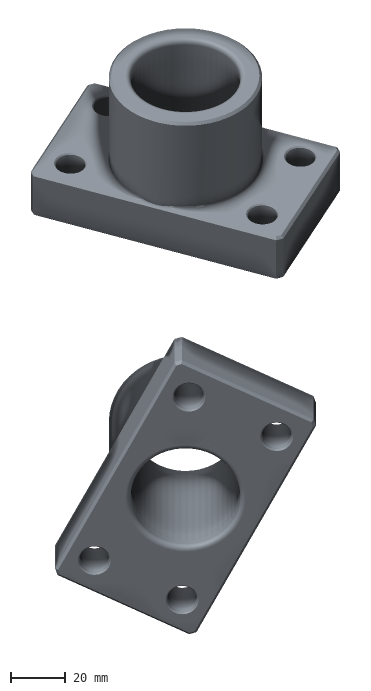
import cadquery as cq
import math

LENGTH = 100.0
WIDTH = 58.0
FLANGE_HEIGHT = 20.0
EDGE_CHAMFER = 1.0
CORNER_CHAMFER = 2.0

TOTAL_HEIGHT = 60.0
SLEEVE_RADIUS = WIDTH / 2 - EDGE_CHAMFER
FOOT_FILLET = 1.0

BUSHING_RADIUS = 24.2
BORE_RADIUS = 20.0
BORE_FILLET = 2.0

HOLE_RADIUS = 5.5
HOLE_CHAMFER = 0.5
HOLE_SPACING_X = 76.0
HOLE_SPACING_Y = 36.0


def make_flange():
    """Rectangular block with bevelled corners and rims."""
    block = cq.Workplane("XY").box(LENGTH, WIDTH, FLANGE_HEIGHT, centered=(True, True, False))
    block = block.edges("|Z").chamfer(CORNER_CHAMFER)
    return block.faces("<Z or >Z").edges().chamfer(EDGE_CHAMFER)


def make_foot():
    """Fillet collar around the sleeve, cut back where it meets the planes of the long rim bevels."""
    foot_radius = SLEEVE_RADIUS + FOOT_FILLET
    foot_top = FLANGE_HEIGHT + FOOT_FILLET
    arc_inset = FOOT_FILLET * (1 - math.sqrt(0.5))
    collar = (
        cq.Workplane("XZ")
        .moveTo(BUSHING_RADIUS, FLANGE_HEIGHT)
        .lineTo(foot_radius, FLANGE_HEIGHT)
        .threePointArc(
            (SLEEVE_RADIUS + arc_inset, FLANGE_HEIGHT + arc_inset),
            (SLEEVE_RADIUS, foot_top),
        )
        .lineTo(BUSHING_RADIUS, foot_top)
        .close()
        .revolve(360, (0, 0), (0, 1))
    )
    half_flat = WIDTH / 2 - EDGE_CHAMFER
    roof_outline = [
        (-half_flat, FLANGE_HEIGHT),
        (half_flat, FLANGE_HEIGHT),
        (0, FLANGE_HEIGHT + half_flat),
    ]
    roof = cq.Workplane("YZ").polyline(roof_outline).close().extrude(LENGTH / 2, both=True)
    return collar.intersect(roof)


def add_sleeve(flange):
    """Join the round sleeve and its foot to the flange."""
    sleeve = cq.Workplane("XY").circle(SLEEVE_RADIUS).extrude(TOTAL_HEIGHT)
    sleeve = sleeve.faces(">Z").edges().chamfer(EDGE_CHAMFER)
    return flange.union(sleeve).union(make_foot())


def cut_mounting_holes(body):
    """Four through holes, chamfered at the top and bottom."""
    mouth_radius = HOLE_RADIUS + HOLE_CHAMFER
    profile = [
        (0, 0),
        (mouth_radius, 0),
        (HOLE_RADIUS, HOLE_CHAMFER),
        (HOLE_RADIUS, FLANGE_HEIGHT - HOLE_CHAMFER),
        (mouth_radius, FLANGE_HEIGHT),
        (0, FLANGE_HEIGHT),
    ]
    cutter = cq.Workplane("XZ").polyline(profile).close().revolve(360, (0, 0), (0, 1))
    for side_x in (-1, 1):
        for side_y in (-1, 1):
            centre = (side_x * HOLE_SPACING_X / 2, side_y * HOLE_SPACING_Y / 2, 0)
            body = body.cut(cutter.translate(centre))
    return body


def make_housing():
    """Flanged sleeve with a seat for the bushing running right through."""
    body = cut_mounting_holes(add_sleeve(make_flange()))
    seat = cq.Workplane("XY").circle(BUSHING_RADIUS).extrude(TOTAL_HEIGHT)
    return body.cut(seat)


def make_bushing():
    """Plain tube filling the seat, its bore rounded at both ends."""
    tube = cq.Workplane("XY").circle(BUSHING_RADIUS).circle(BORE_RADIUS).extrude(TOTAL_HEIGHT)
    return tube.faces("<Z or >Z").edges(cq.selectors.RadiusNthSelector(0)).fillet(BORE_FILLET)


housing = make_housing()
bushing = make_bushing()
result = cq.Compound.makeCompound([housing.val(), bushing.val()])